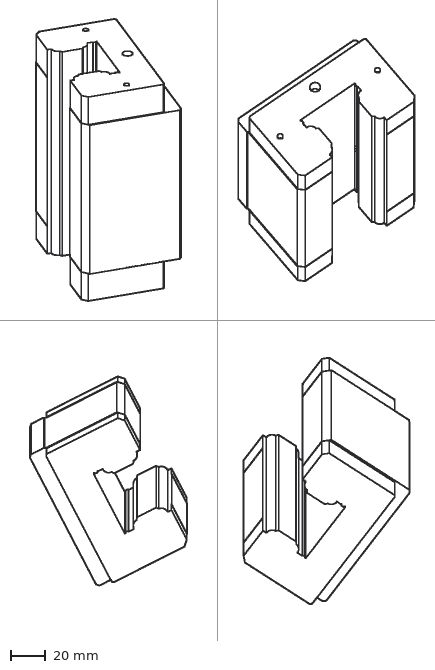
import cadquery as cq
import math


total_length = 133.0
body_length = 97.0

body_width = 86.0
body_height = 60.0
top_chamfer = 1.5
side_relief = 0.5
reference_strip = 9.6

cap_width = 84.2
cap_height = 49.7
cap_bottom_gap = 0.1
cap_top_chamfer = 0.8

bottom_half_width = 39.1

channel_half_width = 19.7
channel_height = 30.2
lip_width = 0.5
lip_height = 1.7
lip_drop = 0.7
runner_axis_height = 13.4
runner_radius = 8.0 / 2
runner_arc_offset = 6.9
runner_arc_end = 7.2
runner_tip_half_width = 14.4
runner_tip_half_height = 6.1

center_hole_diameter = 6.0
center_hole_height = 42.0
center_hole_depth = 8.0
side_hole_diameter = 3.2
side_hole_spacing = 70.2
side_hole_height = 29.0
side_hole_depth = 5.3
drill_point_angle = 118.0


def extrude_centered(outline, length):
    """Extrude a closed XY outline symmetrically about Z = 0."""
    return outline.extrude(length / 2, both=True)


def make_body():
    half = body_width / 2
    relieved_half = half - side_relief
    strip_bottom = body_height - reference_strip
    outline = (
        cq.Workplane("XY")
        .moveTo(-bottom_half_width, 0)
        .lineTo(bottom_half_width, 0)
        .lineTo(half, half - bottom_half_width)
        .lineTo(half, body_height - top_chamfer)
        .lineTo(half - top_chamfer, body_height)
        .lineTo(-half + top_chamfer, body_height)
        .lineTo(-half, body_height - top_chamfer)
        .lineTo(-half, strip_bottom)
        .lineTo(-relieved_half, strip_bottom - side_relief)
        .lineTo(-relieved_half, relieved_half - bottom_half_width)
        .close()
    )
    return extrude_centered(outline, body_length)


def make_end_caps():
    """One block over the full length; its ends project past the body as the caps."""
    half = cap_width / 2
    chamfer_top = cap_bottom_gap + half - bottom_half_width
    outline = (
        cq.Workplane("XY")
        .moveTo(-bottom_half_width, cap_bottom_gap)
        .lineTo(bottom_half_width, cap_bottom_gap)
        .lineTo(half, chamfer_top)
        .lineTo(half, cap_height - cap_top_chamfer)
        .lineTo(half - cap_top_chamfer, cap_height)
        .lineTo(-half + cap_top_chamfer, cap_height)
        .lineTo(-half, cap_height - cap_top_chamfer)
        .lineTo(-half, chamfer_top)
        .close()
    )
    return extrude_centered(outline, total_length)


def make_channel():
    """Rail channel cutter, mirrored about the YZ plane."""
    wall = channel_half_width
    lip_top = channel_height - lip_drop
    tip = runner_tip_half_width
    axis = runner_axis_height

    arc_wall_offset = runner_arc_offset + runner_radius
    arc_end_x = wall - math.sqrt(runner_radius**2 - (runner_arc_end - runner_arc_offset) ** 2)
    diagonal = runner_radius * math.sqrt(0.5)
    arc_middle_x = wall - diagonal
    arc_middle_offset = runner_arc_offset + diagonal

    outline = (
        cq.Workplane("XY")
        .lineTo(wall, 0)
        .lineTo(wall, axis - arc_wall_offset)
        .threePointArc((arc_middle_x, axis - arc_middle_offset), (arc_end_x, axis - runner_arc_end))
        .lineTo(tip, axis - runner_tip_half_height)
        .lineTo(tip, axis + runner_tip_half_height)
        .lineTo(arc_end_x, axis + runner_arc_end)
        .threePointArc((arc_middle_x, axis + arc_middle_offset), (wall, axis + arc_wall_offset))
        .lineTo(wall, lip_top - lip_height)
        .lineTo(wall - lip_width, lip_top - lip_height)
        .lineTo(wall - lip_width, lip_top)
        .lineTo(wall, lip_top)
        .lineTo(wall, channel_height)
        .lineTo(0, channel_height)
        .close()
    )
    half_channel = extrude_centered(outline, total_length)
    return half_channel.union(half_channel.mirror("YZ"))


def make_drilled_hole(x, y, diameter, depth):
    """Blind hole cutter from the +Z end face, ending in a conical drill point."""
    radius = diameter / 2
    point_length = radius / math.tan(math.radians(drill_point_angle / 2))
    return (
        cq.Workplane("XZ")
        .lineTo(radius, 0)
        .lineTo(radius, -depth)
        .lineTo(0, -depth - point_length)
        .close()
        .revolve(360, (0, 0, 0), (0, 1, 0))
        .translate((x, y, total_length / 2))
    )


result = make_body().union(make_end_caps()).cut(make_channel())
result = result.cut(make_drilled_hole(0, center_hole_height, center_hole_diameter, center_hole_depth))
for side in (-1, 1):
    side_hole_x = side * side_hole_spacing / 2
    result = result.cut(make_drilled_hole(side_hole_x, side_hole_height, side_hole_diameter, side_hole_depth))